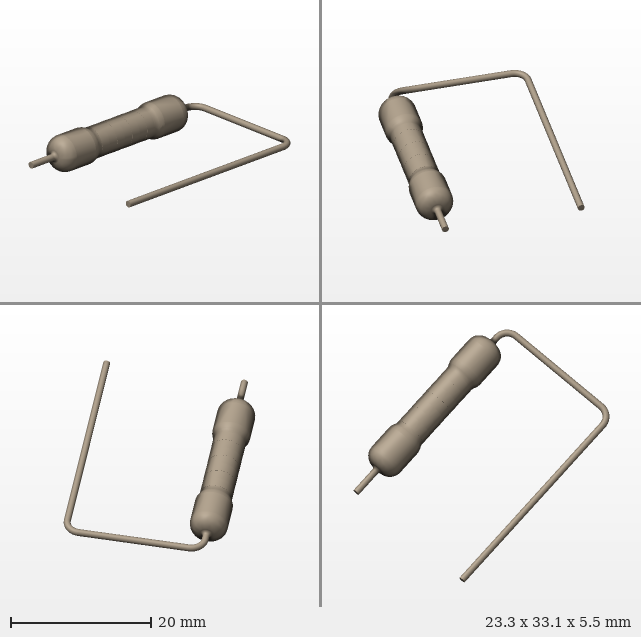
import cadquery as cq
import math


lead_radius = 0.5
lead_pitch = 20.0
overall_length = 33.1
bend_radius = 2.0

body_center_y = 17.08
body_half_length = 12.48
cap_radius = 2.75
cap_length = 3.77
dome_radius = 1.9
neck_fillet = 0.5
waist_diameter = 4.67
waist_radius = waist_diameter / 2
waist_half_length = 5.2

band_radius = 2.35
band_count = 4


def arc_midpoint(center, radius, start_angle, end_angle):
    """Point halfway along an arc, with angles in degrees."""
    angle = math.radians((start_angle + end_angle) / 2)
    return (center[0] + radius * math.cos(angle), center[1] + radius * math.sin(angle))


def make_body_end():
    """One end of the body revolved about Y, from the waist through the flare and cap to the neck."""
    shoulder_y = body_half_length - dome_radius
    cap_start_y = shoulder_y - cap_length

    flare_rise = (cap_radius - waist_radius) / 2
    flare_run = (cap_start_y - waist_half_length) / 2
    flare_radius = (flare_rise**2 + flare_run**2) / (2 * flare_rise)
    flare_angle = math.degrees(math.asin(flare_run / flare_radius))
    flare_mid = (waist_radius + flare_rise, waist_half_length + flare_run)
    waist_arc_center = (waist_radius + flare_radius, waist_half_length)
    cap_arc_center = (cap_radius - flare_radius, cap_start_y)

    dome_center = (cap_radius - dome_radius, shoulder_y)
    neck_base_radius = lead_radius + neck_fillet
    neck_offset = neck_base_radius - dome_center[0]
    neck_angle = math.degrees(math.acos(neck_offset / dome_radius))
    neck_base_y = shoulder_y + math.sqrt(dome_radius**2 - neck_offset**2)
    neck_top_y = neck_base_y + neck_fillet
    neck_center = (neck_base_radius, neck_top_y)

    return (
        cq.Workplane("XY")
        .moveTo(0, waist_half_length)
        .lineTo(waist_radius, waist_half_length)
        .threePointArc(arc_midpoint(waist_arc_center, flare_radius, 180, 180 - flare_angle), flare_mid)
        .threePointArc(
            arc_midpoint(cap_arc_center, flare_radius, -flare_angle, 0),
            (cap_radius, cap_start_y),
        )
        .lineTo(cap_radius, shoulder_y)
        .threePointArc(
            arc_midpoint(dome_center, dome_radius, 0, neck_angle),
            (neck_base_radius, neck_base_y),
        )
        .threePointArc(
            arc_midpoint(neck_center, neck_fillet, 180, 270),
            (lead_radius, neck_top_y),
        )
        .lineTo(0, neck_top_y)
        .close()
        .revolve(360, (0, 0, 0), (0, 1, 0))
    )


def make_body():
    """Two mirrored ends joined by a waist of alternating colour bands and gaps."""
    end = make_body_end()
    body = end.union(end.mirror("XZ"))
    section_count = 2 * band_count - 1
    section_width = 2 * waist_half_length / section_count
    for index in range(section_count):
        is_band = index % 2 == 0
        section = (
            cq.Workplane("XZ", origin=(0, index * section_width - waist_half_length, 0))
            .circle(band_radius if is_band else waist_radius)
            .extrude(-section_width)
        )
        body = body.union(section)
    return body.translate((0, body_center_y, 0))


def make_lead():
    """One round wire through the body axis, folded over the top and back down to Y = 0."""
    fold_y = overall_length - lead_radius
    bend_start_y = fold_y - bend_radius
    far_bend_x = lead_pitch - bend_radius
    path = (
        cq.Workplane("XY")
        .lineTo(0, bend_start_y)
        .threePointArc(
            arc_midpoint((bend_radius, bend_start_y), bend_radius, 90, 180),
            (bend_radius, fold_y),
        )
        .lineTo(far_bend_x, fold_y)
        .threePointArc(
            arc_midpoint((far_bend_x, bend_start_y), bend_radius, 0, 90),
            (lead_pitch, bend_start_y),
        )
        .lineTo(lead_pitch, 0)
    )
    return cq.Workplane("XZ").circle(lead_radius).sweep(path)


result = make_body().union(make_lead())